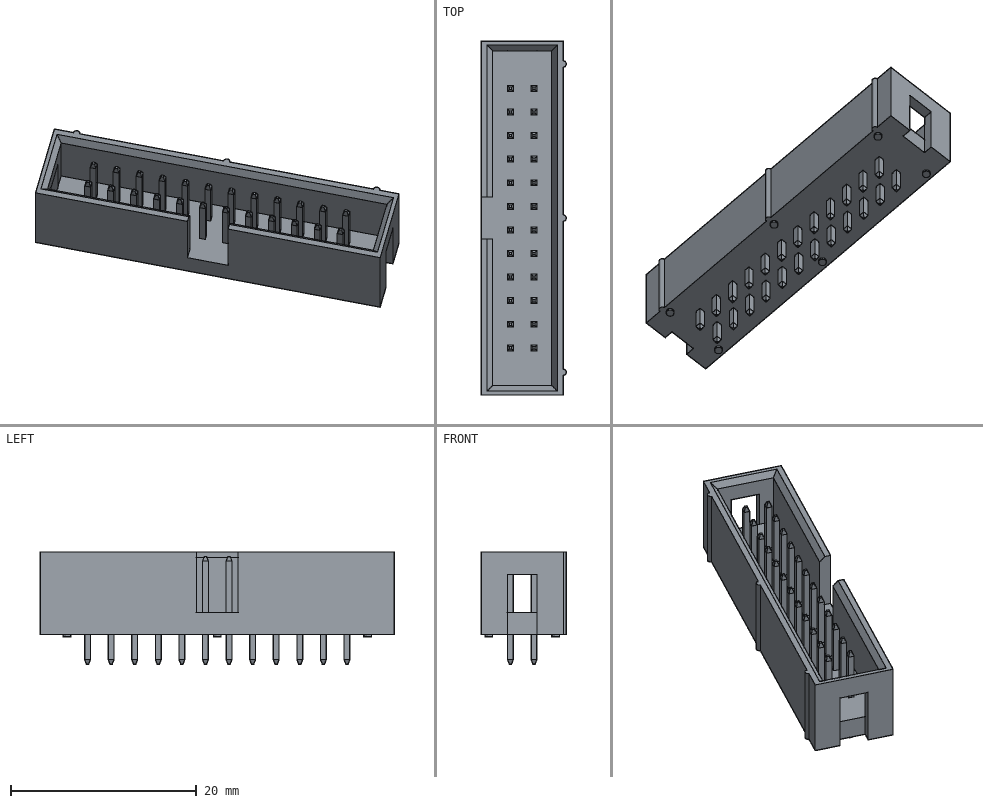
import cadquery as cq

body_width = 8.85
body_length = 38.14
body_height = 8.9
floor_height = 2.4
side_wall = 1.25
end_wall = 1.05
lead_in = 0.6

key_slot_length = 4.5
end_slot_height = 6.45

pin_rows = 2
pins_per_row = 12
pitch = 2.54
pin_size = 0.64
pin_tip_size = 0.25
pin_tip_length = 0.5
pin_top = 8.4
pin_bottom = -3.2

standoff_diameter = 0.85
standoff_height = 0.25
standoff_spacing_x = 7.2
standoff_spacing_y = 16.2
rib_diameter = 0.7
rib_projection = 0.33
rib_spacing_y = 16.6

cavity_width = body_width - 2 * side_wall
cavity_length = body_length - 2 * end_wall
end_slot_width = (pin_rows - 1) * pitch + pin_size


def box(size_x, size_y, bottom, top):
    """Box centred on the Z axis between two heights."""
    height = top - bottom
    return cq.Workplane("XY", origin=(0, 0, bottom)).box(size_x, size_y, height, centered=(True, True, False))


def make_shell():
    """Open tray with a 45 degree lead-in around the mouth of the cavity."""
    shell = box(body_width, body_length, 0, body_height)
    cavity = box(cavity_width, cavity_length, floor_height, body_height)
    mouth = (
        cq.Workplane("XY", origin=(0, 0, body_height - lead_in))
        .rect(cavity_width, cavity_length)
        .workplane(offset=lead_in)
        .rect(cavity_width + 2 * lead_in, cavity_length + 2 * lead_in)
        .loft(ruled=True)
    )
    return shell.cut(cavity).cut(mouth)


def make_key_slot():
    """Polarising slot through the -X wall, down to the cavity floor."""
    return box(body_width / 2, key_slot_length, floor_height, body_height).translate((-body_width / 2, 0, 0))


def make_end_slots():
    """Slots through both end walls, open at the seating face."""
    slot = box(end_slot_width, end_wall, 0, end_slot_height)
    slot_y = (body_length - end_wall) / 2
    return slot.translate((0, slot_y, 0)).union(slot.translate((0, -slot_y, 0)))


def make_standoffs():
    """Short round feet along both long edges of the seating face."""
    centres = [
        (side * standoff_spacing_x / 2, step * standoff_spacing_y)
        for side in (-1, 1)
        for step in (-1, 0, 1)
    ]
    return (
        cq.Workplane("XY", origin=(0, 0, floor_height / 2))
        .pushPoints(centres)
        .circle(standoff_diameter / 2)
        .extrude(-floor_height / 2 - standoff_height)
    )


def make_ribs():
    """Round full-height ribs on the +X face."""
    rib_x = body_width / 2 + rib_projection - rib_diameter / 2
    centres = [(rib_x, step * rib_spacing_y) for step in (-1, 0, 1)]
    return cq.Workplane("XY").pushPoints(centres).circle(rib_diameter / 2).extrude(body_height)


def make_pin():
    """Square pin on the Z axis with a tapered tip at each end."""
    shank_bottom = pin_bottom + pin_tip_length
    shank_top = pin_top - pin_tip_length
    pin = box(pin_size, pin_size, shank_bottom, shank_top)
    for start, direction in ((shank_top, 1), (shank_bottom, -1)):
        tip = (
            cq.Workplane("XY", origin=(0, 0, start))
            .rect(pin_size, pin_size)
            .workplane(offset=direction * pin_tip_length)
            .rect(pin_tip_size, pin_tip_size)
            .loft(ruled=True)
        )
        pin = pin.union(tip)
    return pin


def add_pins(housing):
    """Fuse the full grid of pins into the housing."""
    pin = make_pin()
    for row in range(pin_rows):
        for column in range(pins_per_row):
            pin_x = (row - (pin_rows - 1) / 2) * pitch
            pin_y = (column - (pins_per_row - 1) / 2) * pitch
            housing = housing.union(pin.translate((pin_x, pin_y, 0)))
    return housing


housing = make_shell().union(make_ribs()).union(make_standoffs())
housing = housing.cut(make_key_slot()).cut(make_end_slots())
result = add_pins(housing)